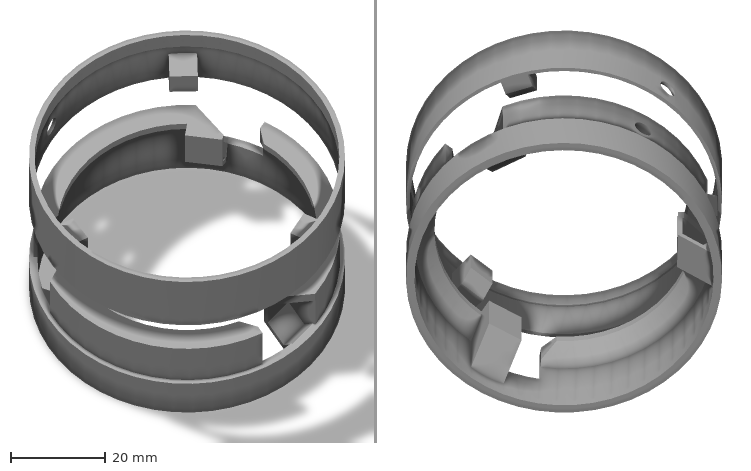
import cadquery as cq
import math

outer_radius = 33.5
hole_diameter = 4.0
hole_rise = 5.0
station_angles = [0, 120, 240]

base_height = 10.05
base_top_height = 21.0
bore_radius = 63.4 / 2
skirt_radius = 65.0 / 2
lid_inner_radius = 27.5
lid_thickness = 1.8
lid_cone_bottom = base_top_height - lid_thickness - (bore_radius - lid_inner_radius)

block_half_width = 4.0
block_inner_radius = 24.05
block_wall = 1.0
pocket_inner_radius = block_inner_radius + block_wall
pocket_top = 18.55
pocket_floor_top = 12.1
pocket_end = 3.0
pocket_mouth_edge = 29.4

gap_angle = math.radians(22.0)
gap_corner_radius = 30.55
gap_bevel_angle = math.radians(19.0)
gap_bevel_length = 4.5
gap_inner_radius = 20.1

ring_bottom = 30.55
ring_top = 45.7
ring_bore_radius = 65.4 / 2
lip_radius = 64.6 / 2
lip_height = 4.0
ring_turn = 10.0
lug_width = 6.0
lug_inner_radius = 26.5
lug_height = 8.3
lug_chamfer = 2.95
lug_root = 0.35

cut_reach = 40.2


def cylinder(radius, bottom, top):
    return cq.Workplane("XY").workplane(offset=bottom).circle(radius).extrude(top - bottom)


def prism(points, bottom, top):
    return cq.Workplane("XY").workplane(offset=bottom).polyline(points).close().extrude(top - bottom)


def radial_slab(profile, side_start, side_end):
    """Extrude a radius-height profile along Y, at the station on the X axis."""
    slab = cq.Workplane("XZ").polyline(profile).close().extrude(side_start - side_end)
    return slab.translate((0, side_start, 0))


def turned(shape, angle):
    return shape.rotate((0, 0, 0), (0, 0, 1), angle)


def index_hole(height):
    """Radial drill through the -X wall."""
    drill = cq.Workplane("YZ").center(0, height).circle(hole_diameter / 2)
    return drill.extrude(-cut_reach)


def base_shell():
    profile = [
        (bore_radius, 0),
        (outer_radius, 0),
        (outer_radius, base_height),
        (skirt_radius, base_height),
        (skirt_radius, base_top_height),
        (lid_inner_radius, base_top_height),
        (lid_inner_radius, base_top_height - lid_thickness),
        (bore_radius, lid_cone_bottom),
    ]
    return cq.Workplane("XZ").polyline(profile).close().revolve(360, (0, 0), (0, 1))


def entry_gap():
    corner = (gap_corner_radius * math.cos(gap_angle), -gap_corner_radius * math.sin(gap_angle))
    bevel_end = (
        corner[0] - gap_bevel_length * math.cos(gap_bevel_angle),
        corner[1] - gap_bevel_length * math.sin(gap_bevel_angle),
    )
    points = [
        (gap_inner_radius, -block_half_width),
        (cut_reach, -block_half_width),
        (cut_reach * math.cos(gap_angle), -cut_reach * math.sin(gap_angle)),
        corner,
        bevel_end,
        (gap_inner_radius, bevel_end[1]),
    ]
    return prism(points, base_height, base_top_height)


def receiver_block():
    """Block inside the skirt with a 45 degree underside that runs into the bore."""
    slope_sum = pocket_inner_radius + pocket_floor_top - block_wall * math.sqrt(2)
    profile = [
        (block_inner_radius, base_top_height),
        (skirt_radius, base_top_height),
        (skirt_radius, slope_sum - skirt_radius),
        (block_inner_radius, slope_sum - block_inner_radius),
    ]
    block = radial_slab(profile, -block_half_width, block_half_width)
    return block.intersect(cylinder(skirt_radius, 0, base_top_height))


def receiver_pocket():
    """V-floored pocket that is open to the outside and to the entry gap."""
    floor_sum = pocket_inner_radius + pocket_floor_top
    rim_difference = bore_radius - base_height
    valley_radius = (floor_sum + rim_difference) / 2
    profile = [
        (pocket_inner_radius, pocket_top),
        (pocket_inner_radius, pocket_floor_top),
        (valley_radius, floor_sum - valley_radius),
        (bore_radius, base_height),
        (cut_reach, base_height),
        (cut_reach, pocket_top),
    ]
    return radial_slab(profile, -block_half_width, pocket_end)


def lid_corner():
    """Slanted cut that takes the lid off the pocket mouth."""
    points = [
        (pocket_mouth_edge - block_half_width, -block_half_width),
        (cut_reach, -block_half_width),
        (cut_reach, pocket_end),
        (pocket_mouth_edge + pocket_end, pocket_end),
    ]
    return prism(points, pocket_top, base_top_height)


def make_base():
    base = base_shell()
    for angle in station_angles:
        base = base.cut(turned(entry_gap(), angle))
        base = base.union(turned(receiver_block(), angle))
        base = base.cut(turned(receiver_pocket(), angle))
        base = base.cut(turned(lid_corner(), angle))
    return base.cut(index_hole(base_height + hole_rise))


def ring_lug():
    outer = ring_bore_radius + lug_root
    profile = [
        (lug_inner_radius, ring_bottom + lug_height),
        (outer, ring_bottom + lug_height),
        (outer, ring_bottom),
        (lug_inner_radius + lug_chamfer, ring_bottom),
        (lug_inner_radius, ring_bottom + lug_chamfer),
    ]
    return radial_slab(profile, -lug_width / 2, lug_width / 2)


def make_ring():
    ring = cylinder(outer_radius, ring_bottom, ring_top)
    ring = ring.cut(cylinder(lip_radius, ring_bottom, ring_top))
    ring = ring.cut(cylinder(ring_bore_radius, ring_bottom, ring_top - lip_height))
    for angle in station_angles:
        ring = ring.union(turned(ring_lug(), angle))
    ring = ring.cut(index_hole(ring_bottom + hole_rise))
    return turned(ring, ring_turn)


base = make_base()
ring = make_ring()
result = cq.Compound.makeCompound([base.val(), ring.val()])